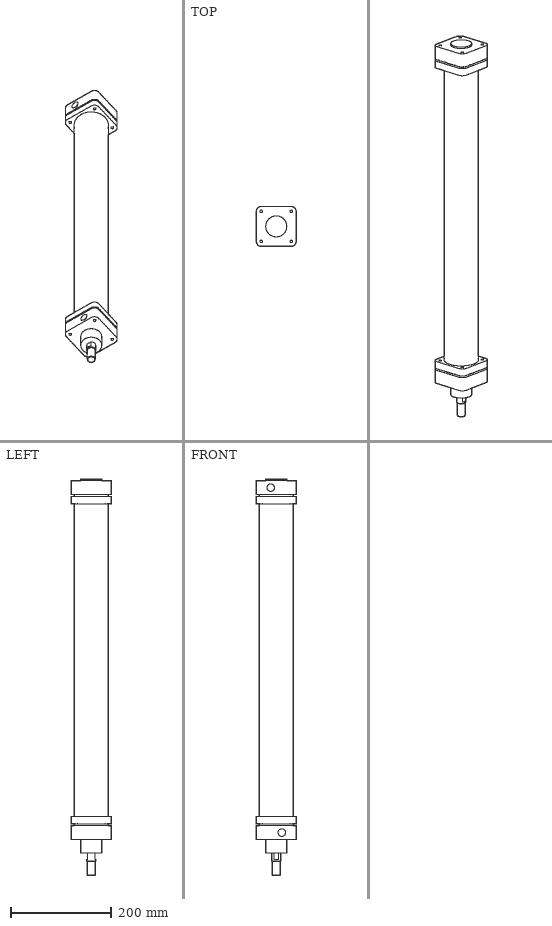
import cadquery as cq

TOTAL_LENGTH = 791.0

HEAD_SIDE = 80.0
CORNER_RADIUS = 10.5
BOLT_SPACING = 60.0
BOLT_HOLE_DIAMETER = 5.0
BOLT_HOLE_DEPTH = 15.0
CAP_HEIGHT = 28.0
FLANGE_THICKNESS = 15.0
CAP_TO_FLANGE_GAP = 3.5

PORT_DIAMETER = 15.0
PORT_DEPTH = 10.0
PORT_OFFSET = 11.0

BARREL_DIAMETER = 68.5
HUB_DIAMETER = 42.0
FRONT_HUB_LENGTH = 27.0
REAR_HUB_LENGTH = 3.0

ROD_EXPOSED_LENGTH = 45.0
ROD_DIAMETER = 18.0
FLAT_LENGTH = 13.0
FLAT_WIDTH_ACROSS = 15.0
SHANK_LENGTH = 17.0
SHANK_CHAMFER = 1.0
THREAD_DIAMETER = ROD_DIAMETER - 2 * SHANK_CHAMFER
ROD_CHAMFER = 1.0

FRONT_HUB_Z = ROD_EXPOSED_LENGTH
FRONT_CAP_Z = FRONT_HUB_Z + FRONT_HUB_LENGTH
BARREL_Z = FRONT_CAP_Z + CAP_HEIGHT
FRONT_FLANGE_Z = BARREL_Z + CAP_TO_FLANGE_GAP
REAR_CAP_TOP_Z = TOTAL_LENGTH - REAR_HUB_LENGTH
REAR_CAP_Z = REAR_CAP_TOP_Z - CAP_HEIGHT
REAR_FLANGE_Z = REAR_CAP_Z - CAP_TO_FLANGE_GAP - FLANGE_THICKNESS


def cylinder(diameter, bottom_z, length):
    return cq.Workplane("XY").workplane(offset=bottom_z).circle(diameter / 2).extrude(length)


def square_block(bottom_z, height):
    """Square plate with rounded vertical corners."""
    return (
        cq.Workplane("XY")
        .workplane(offset=bottom_z)
        .rect(HEAD_SIDE, HEAD_SIDE)
        .extrude(height)
        .edges("|Z")
        .fillet(CORNER_RADIUS)
    )


def bolt_holes(bottom_z, depth):
    """Cutters for the four corner bolt holes."""
    return (
        cq.Workplane("XY")
        .workplane(offset=bottom_z)
        .rect(BOLT_SPACING, BOLT_SPACING, forConstruction=True)
        .vertices()
        .circle(BOLT_HOLE_DIAMETER / 2)
        .extrude(depth)
    )


def port(center_x, center_z):
    """Cutter for a blind port going in from the -Y face."""
    return (
        cq.Workplane("XZ", origin=(0, -HEAD_SIDE / 2, 0))
        .center(center_x, center_z)
        .circle(PORT_DIAMETER / 2)
        .extrude(-PORT_DEPTH)
    )


def end_cap(cap_z, hub_z, hub_length, bolt_hole_z, port_x):
    """Cap with a round hub and blind bolt holes on its outer face, and one port."""
    return (
        square_block(cap_z, CAP_HEIGHT)
        .union(cylinder(HUB_DIAMETER, hub_z, hub_length))
        .cut(bolt_holes(bolt_hole_z, BOLT_HOLE_DEPTH))
        .cut(port(port_x, cap_z + CAP_HEIGHT / 2))
    )


def clamp_flange(bottom_z):
    """Square flange that fits around the barrel, with bolt holes right through."""
    return (
        square_block(bottom_z, FLANGE_THICKNESS)
        .cut(cylinder(BARREL_DIAMETER, bottom_z, FLANGE_THICKNESS))
        .cut(bolt_holes(bottom_z, FLANGE_THICKNESS))
    )


def piston_rod():
    """Rod end with two wrench flats facing -Y and +Y next to the front hub."""
    thread_length = ROD_EXPOSED_LENGTH - SHANK_LENGTH
    thread = cylinder(THREAD_DIAMETER, 0, thread_length).faces("<Z").chamfer(ROD_CHAMFER)
    shank = cylinder(ROD_DIAMETER, thread_length, SHANK_LENGTH).faces("<Z").chamfer(SHANK_CHAMFER)
    flat_depth = (ROD_DIAMETER - FLAT_WIDTH_ACROSS) / 2
    flat_offset = (FLAT_WIDTH_ACROSS + flat_depth) / 2
    flat_cutters = (
        cq.Workplane("XY")
        .workplane(offset=ROD_EXPOSED_LENGTH - FLAT_LENGTH)
        .pushPoints([(0, -flat_offset), (0, flat_offset)])
        .rect(ROD_DIAMETER, flat_depth)
        .extrude(FLAT_LENGTH)
    )
    return thread.union(shank).cut(flat_cutters)


front_cap = end_cap(FRONT_CAP_Z, FRONT_HUB_Z, FRONT_HUB_LENGTH, FRONT_CAP_Z, PORT_OFFSET)
rear_cap = end_cap(
    REAR_CAP_Z, REAR_CAP_TOP_Z, REAR_HUB_LENGTH, REAR_CAP_TOP_Z - BOLT_HOLE_DEPTH, -PORT_OFFSET
)
barrel = cylinder(BARREL_DIAMETER, BARREL_Z, REAR_CAP_Z - BARREL_Z)
flanges = [clamp_flange(bottom_z) for bottom_z in (FRONT_FLANGE_Z, REAR_FLANGE_Z)]
rod = piston_rod()

result = cq.Compound.makeCompound(
    [front_cap.val(), rear_cap.val(), barrel.val(), *[flange.val() for flange in flanges], rod.val()]
)